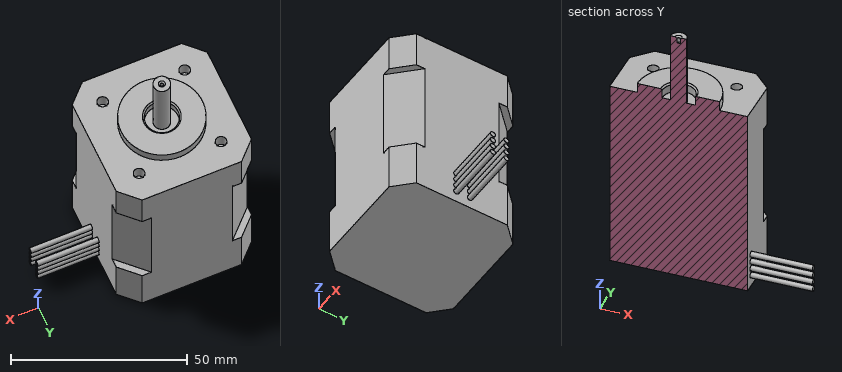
import cadquery as cq

body_width = 42.0
body_height = 60.0
boss_height = 3.0
total_height = 82.0

end_corner_cut = 5.6
middle_corner_cut = 8.45
top_cap_height = 12.55
bottom_cap_height = 16.0

boss_diameter = 25.1
bore_diameter = 10.0
bore_depth = 3.0
bore_chamfer = 0.5

shaft_diameter = 5.0
centre_mouth_diameter = 2.0
centre_drill_diameter = 1.0
centre_cone_depth = (centre_mouth_diameter - centre_drill_diameter) / 2
centre_drill_depth = 2.0

mount_hole_diameter = 3.3
mount_hole_spacing = 25.4
mount_hole_depth = 4.5

wire_diameter = 1.7
wire_length = 19.0
wire_embed = 0.8
wire_rows = 4
wire_pitch = 2.4
lowest_wire_z = 3.85
wire_columns_y = (-1.9, 2.7)


def octagonal_prism(bottom_z, height, corner_cut):
    """Square prism of the body width with its vertical edges chamfered."""
    return (
        cq.Workplane("XY", origin=(0, 0, bottom_z))
        .rect(body_width, body_width)
        .extrude(height)
        .edges("|Z")
        .chamfer(corner_cut)
    )


def cylinder(bottom_z, height, diameter):
    """Upright cylinder on the motor axis."""
    return cq.Workplane("XY", origin=(0, 0, bottom_z)).circle(diameter / 2).extrude(height)


def make_body():
    middle_height = body_height - top_cap_height - bottom_cap_height
    bottom_cap = octagonal_prism(0, bottom_cap_height, end_corner_cut)
    middle = octagonal_prism(bottom_cap_height, middle_height, middle_corner_cut)
    top_cap = octagonal_prism(body_height - top_cap_height, top_cap_height, end_corner_cut)
    boss = cylinder(body_height, boss_height, boss_diameter)
    return bottom_cap.union(middle).union(top_cap).union(boss)


def make_mount_holes():
    return (
        cq.Workplane("XY", origin=(0, 0, body_height - mount_hole_depth))
        .rect(mount_hole_spacing, mount_hole_spacing, forConstruction=True)
        .vertices()
        .circle(mount_hole_diameter / 2)
        .extrude(mount_hole_depth)
    )


def make_bore():
    """Clearance bore, widening at its mouth."""
    boss_top = body_height + boss_height
    bore_radius = bore_diameter / 2
    mouth_radius = bore_radius + bore_chamfer
    return (
        cq.Workplane("XZ")
        .moveTo(0, boss_top - bore_depth)
        .lineTo(bore_radius, boss_top - bore_depth)
        .lineTo(bore_radius, boss_top - bore_chamfer)
        .lineTo(mouth_radius, boss_top)
        .lineTo(0, boss_top)
        .close()
        .revolve(360, (0, 0, 0), (0, 1, 0))
    )


def make_shaft():
    """Shaft standing on the bore floor, revolved together with its centre hole."""
    floor_z = body_height + boss_height - bore_depth
    shaft_radius = shaft_diameter / 2
    drill_radius = centre_drill_diameter / 2
    return (
        cq.Workplane("XZ")
        .moveTo(0, floor_z)
        .lineTo(shaft_radius, floor_z)
        .lineTo(shaft_radius, total_height)
        .lineTo(centre_mouth_diameter / 2, total_height)
        .lineTo(drill_radius, total_height - centre_cone_depth)
        .lineTo(drill_radius, total_height - centre_drill_depth)
        .lineTo(0, total_height - centre_drill_depth)
        .close()
        .revolve(360, (0, 0, 0), (0, 1, 0))
    )


def make_wires():
    """Rows of straight leads, rooted slightly inside the body."""
    centres = [
        (y, lowest_wire_z + row * wire_pitch)
        for y in wire_columns_y
        for row in range(wire_rows)
    ]
    return (
        cq.Workplane("YZ", origin=(body_width / 2 - wire_embed, 0, 0))
        .pushPoints(centres)
        .circle(wire_diameter / 2)
        .extrude(wire_embed + wire_length)
    )


result = (
    make_body()
    .cut(make_mount_holes())
    .cut(make_bore())
    .union(make_shaft())
    .union(make_wires())
)